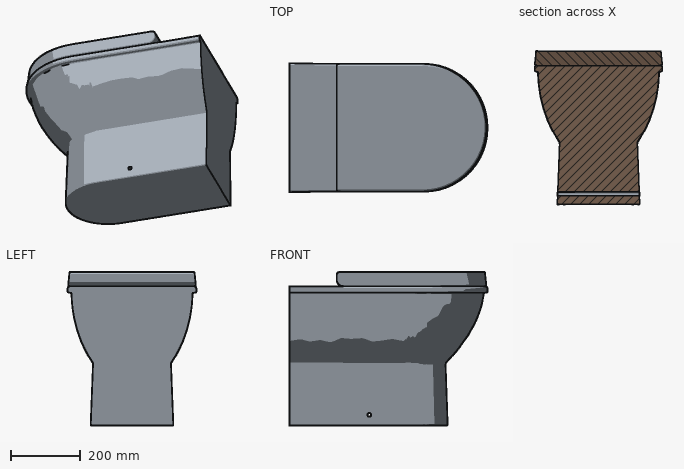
import cadquery as cq
import math

pan_length = 570.0
pan_width = 371.0

rim_back_half_width = pan_width / 2
rim_half_width = 184.0
rim_taper_end = 100.0
rim_top = 400.5
rim_underside = 382.0
rim_round = 8.0
rim_under_round = 5.5
rim_cove = 3.5

side_end = 328.0
nose_start = 396.0
rim_arc_center = pan_length - rim_half_width

foot_height = 180.0
foot_half_width = 119.0
foot_nose = 455.5
neck_half_width = 112.5
neck_nose = 449.0
neck_fillet = 11.5
floor_round = 4.5

trim_length = 28.5
bowl_top = 390.5
bowl_levels = [
    (244.0, 147.0, 503.5),
    (309.0, 166.5, 540.0),
    (bowl_top, 174.5, 560.5),
]

tolerance = 0.05

hole_diameter = 10.0
hole_x = 229.5
hole_height = 31.5

lid_back = 135.5
lid_top = 442.5
lid_half_width = 184.0
lid_arc_center = 382.5
lid_draft = 6.0
lid_back_top_round = 10.0
lid_back_bottom_round = 19.0
lid_edge_round = 4.0


def pan_section(z, half_width, nose):
    """Horizontal outline: straight sides and an elliptic nose that starts further forward higher up."""
    rise = max(0.0, (z - foot_height) / (bowl_top - foot_height))
    start = side_end + rise * (rim_arc_center - side_end)
    reach = nose - start

    seam = math.acos((nose_start - start) / reach)
    seam_y = half_width * math.sin(seam)
    heading = (reach * math.sin(seam), half_width * math.cos(seam))

    def at(x, y):
        return cq.Vector(x, y, z)

    def blend(side):
        """Curve from the end of a flat side (-1 or 1) to the seam of the nose, tangent to both."""
        return cq.Edge.makeSpline(
            [at(side_end, side * half_width), at(nose_start, side * seam_y)],
            tangents=[cq.Vector(1, 0), cq.Vector(heading[0], -side * heading[1])],
        )

    seam_degrees = math.degrees(seam)
    nose_arc = cq.Edge.makeEllipse(
        reach, half_width, at(start, 0), cq.Vector(0, 0, 1), cq.Vector(1, 0, 0),
        angle1=-seam_degrees, angle2=seam_degrees,
    )
    return cq.Wire.assembleEdges([
        cq.Edge.makeLine(at(-trim_length, -half_width), at(side_end, -half_width)),
        blend(-1),
        nose_arc,
        blend(1),
        cq.Edge.makeLine(at(side_end, half_width), at(-trim_length, half_width)),
        cq.Edge.makeLine(at(-trim_length, half_width), at(-trim_length, -half_width)),
    ])


def rounded_plate(back_corner, side_start, center, radius, bottom, height, draft=0):
    """Plate with a flat back, sides straight from side_start on and a semicircular nose."""
    back, back_half_width = back_corner
    return (
        cq.Workplane("XY", origin=(0, 0, bottom))
        .moveTo(back, -back_half_width)
        .lineTo(side_start, -radius)
        .lineTo(center, -radius)
        .threePointArc((center + radius, 0), (center, radius))
        .lineTo(side_start, radius)
        .lineTo(back, back_half_width)
        .close()
        .extrude(height, taper=draft)
    )


def fillet_level(body, z, radius, inside=pan_length):
    """Round the edge loop at height z, leaving the back edge square.

    Only edges that start closer than `inside` to the XZ plane are rounded.
    """
    def belongs(edge):
        box = edge.BoundingBox()
        level = abs(box.zmax - z) < tolerance and abs(box.zmin - z) < tolerance
        return level and box.xmax > 0 and abs(edge.startPoint().y) < inside

    return body.fillet(radius, [edge for edge in body.Edges() if belongs(edge)])


def block_behind(x, bottom, height):
    """Block with its front face at x, used to cut a body to a flat upright back."""
    size = pan_length
    return cq.Solid.makeBox(size, size, height, cq.Vector(x - size, -size / 2, bottom))


def make_pan():
    """Foot, flared bowl and overhanging rim in one solid, with a fixing hole across the foot."""
    floor_section = pan_section(0, foot_half_width, foot_nose)
    neck_section = pan_section(foot_height, neck_half_width, neck_nose)
    bowl_sections = [neck_section] + [pan_section(*level) for level in bowl_levels]

    foot = fillet_level(cq.Solid.makeLoft([floor_section, neck_section], True), 0, floor_round)
    bowl = cq.Solid.makeLoft(bowl_sections)
    rim_taper = (rim_back_half_width - rim_half_width) / rim_taper_end
    rim_corner = (-trim_length, rim_back_half_width + trim_length * rim_taper)
    rim = rounded_plate(rim_corner, rim_taper_end, rim_arc_center, rim_half_width,
                        rim_underside, rim_top - rim_underside).val()
    rim = fillet_level(rim, rim_top, rim_round)
    rim = fillet_level(rim, rim_underside, rim_under_round)

    pan = foot.fuse(bowl)
    pan = fillet_level(pan, foot_height, neck_fillet)
    pan = pan.fuse(rim)
    pan = fillet_level(pan, rim_underside, rim_cove, rim_half_width - rim_under_round - tolerance)

    fixing_hole = (
        cq.Workplane("XZ", origin=(hole_x, 0, hole_height))
        .circle(hole_diameter / 2)
        .extrude(pan_length, both=True)
    )
    behind = block_behind(0, 0, rim_top)
    return pan.cut(fixing_hole.val()).cut(behind)


def make_lid():
    """Closed lid lying on the rim, with drafted walls and a rounded back."""
    height = lid_top - rim_top
    lid = rounded_plate((0, lid_half_width), lid_back, lid_arc_center, lid_half_width,
                        rim_top, height, lid_draft)
    lid = lid.cut(cq.Workplane(block_behind(lid_back, rim_top, height)))
    lid = lid.faces("<X").edges(">Z").fillet(lid_back_top_round)
    lid = lid.faces("<X").edges("<Z").fillet(lid_back_bottom_round)
    return lid.faces(">Z or <Z").edges().fillet(lid_edge_round)


pan = make_pan()
lid = make_lid()
result = cq.Compound.makeCompound([pan, lid.val()])